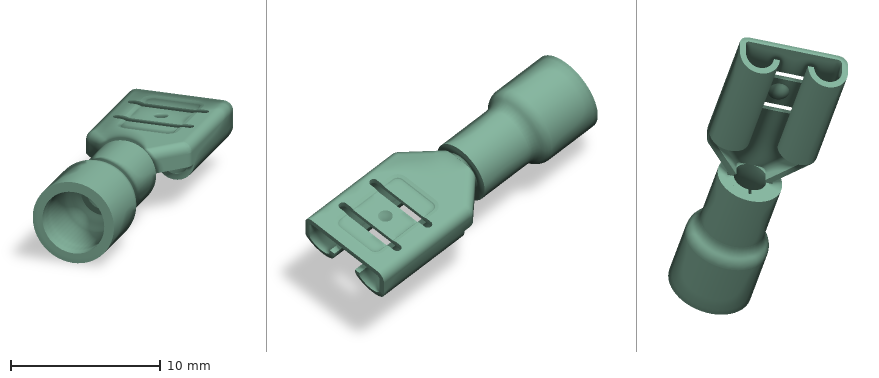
import cadquery as cq
import math

LENGTH = 21.0
SHEET = 0.42
REACH = 2 * LENGTH

BARREL_RADIUS = 3.1 / 2
SEAM_GAP = 0.19
BARREL_END_Y = 10.23

SLEEVE_LENGTH = 10.02
ENTRY_RADIUS = 5.8 / 2
ENTRY_BORE_RADIUS = 4.4 / 2
SLEEVE_RADIUS = 4.5 / 2
BEND_START_Y = 4.2
BEND_END_Y = 5.71

HALF_WIDTH = 7.5 / 2
ROOF_Z = 1.53
WALL_BOTTOM_Z = -0.1
SHOULDER_Y = 12.65
SHOULDER_RADIUS = 0.63
TAPER_ANGLE = math.radians(42.0)
ROOF_EDGE_RADIUS = 0.67

CURL_RADIUS = 1.39
CURL_START_Y = 13.4
LEAD_IN_TOP_Z = -0.42
LEAD_IN_LENGTH = 0.27

PANEL_WIDTH = 4.35
PANEL_START_Y = 13.84
PANEL_END_Y = 20.26
PANEL_CORNER_RADIUS = 0.75
PANEL_GENTLE_SLOPE = (0.25, 0.06)
PANEL_STEEP_SLOPE = (0.06, 0.05)
PANEL_DEPTH = PANEL_GENTLE_SLOPE[1] + PANEL_STEEP_SLOPE[1]

SLOT_LENGTH = 5.75
SLOT_WIDTH = 0.59
SLOT_CENTRES_Y = (15.7, 18.6)
DIMPLE_Y = (SLOT_CENTRES_Y[0] + SLOT_CENTRES_Y[1]) / 2
DIMPLE_WIDTH = 0.99
DIMPLE_RADIUS = 0.63
BUMP_RADIUS = 1.0


def cylinder(radius, start_y, end_y):
    """Cylinder on the Y axis."""
    return cq.Workplane("XZ", origin=(0, start_y, 0)).circle(radius).extrude(start_y - end_y)


def necked_cylinder(entry_radius, narrow_radius):
    """Cylinder on the Y axis that narrows through two equal, opposite arcs."""
    bend_middle = ((entry_radius + narrow_radius) / 2, (BEND_START_Y + BEND_END_Y) / 2)
    return (
        cq.Workplane("XY")
        .lineTo(entry_radius, 0)
        .lineTo(entry_radius, BEND_START_Y)
        .tangentArcPoint(bend_middle, relative=False)
        .tangentArcPoint((narrow_radius, BEND_END_Y), relative=False)
        .lineTo(narrow_radius, SLEEVE_LENGTH)
        .lineTo(0, SLEEVE_LENGTH)
        .close()
        .revolve(360, (0, 0, 0), (0, 1, 0))
    )


def make_sleeve():
    outside = necked_cylinder(ENTRY_RADIUS, SLEEVE_RADIUS)
    bore = necked_cylinder(ENTRY_BORE_RADIUS, BARREL_RADIUS)
    return outside.cut(bore)


def make_barrel():
    """Split tube that sits in the sleeve; only its upper half runs on past the sleeve."""
    outside = cylinder(BARREL_RADIUS, BEND_END_Y, BARREL_END_Y)
    bore = cylinder(BARREL_RADIUS - SHEET, BEND_END_Y, BARREL_END_Y)
    seam = cq.Workplane("XY").rect(SEAM_GAP, REACH).extrude(-REACH)
    lower_half = (
        cq.Workplane("XY", origin=(-BARREL_RADIUS, SLEEVE_LENGTH, WALL_BOTTOM_Z))
        .rect(2 * BARREL_RADIUS, BARREL_END_Y - SLEEVE_LENGTH, centered=False)
        .extrude(-BARREL_RADIUS)
    )
    return outside.cut(bore).cut(seam).cut(lower_half)


def inset_shoulder_y(inset):
    """Y of the sharp shoulder corner of the channel outline, offset inward by `inset`."""
    return SHOULDER_Y + inset * math.tan(TAPER_ANGLE / 2)


def neck_half_width(inset):
    """Half width of the offset channel outline where the neck meets the barrel."""
    return HALF_WIDTH - inset - (inset_shoulder_y(inset) - BARREL_END_Y) * math.tan(TAPER_ANGLE)


def channel_block(inset):
    """Solid block inside the channel's outer surface, offset inward by `inset`."""
    half_width = HALF_WIDTH - inset
    shoulder_y = inset_shoulder_y(inset)
    right_side = [(neck_half_width(inset), BARREL_END_Y), (half_width, shoulder_y), (half_width, LENGTH)]
    left_side = [(-x, y) for x, y in reversed(right_side)]
    block = (
        cq.Workplane("XY", origin=(0, 0, WALL_BOTTOM_Z))
        .polyline(right_side + left_side)
        .close()
        .extrude(ROOF_Z - inset - WALL_BOTTOM_Z)
    )
    shoulders = cq.selectors.BoxSelector(
        (-REACH, shoulder_y - SHEET, -REACH), (REACH, shoulder_y + SHEET, REACH)
    )
    block = block.edges("|Z").edges(shoulders).fillet(SHOULDER_RADIUS - inset)
    return block.faces(">Z").edges("not |X").fillet(ROOF_EDGE_RADIUS - inset)


def make_neck_cheek():
    """Wedge, rooted in the +X barrel wall, that leads the bore in to the narrower gap of the neck."""
    root_x = BARREL_RADIUS - SHEET / 2
    outline = [
        (root_x, SLEEVE_LENGTH),
        (neck_half_width(SHEET), BARREL_END_Y),
        (root_x, BARREL_END_Y),
    ]
    return (
        cq.Workplane("XY", origin=(0, 0, WALL_BOTTOM_Z))
        .polyline(outline)
        .close()
        .extrude(BARREL_RADIUS / 2 - WALL_BOTTOM_Z)
    )


def make_rail():
    """Half-round rail curled from the foot of the +X wall back up towards the middle."""
    inner_radius = CURL_RADIUS - SHEET
    centre_x = HALF_WIDTH - CURL_RADIUS
    rail = (
        cq.Workplane("XZ", origin=(0, CURL_START_Y, WALL_BOTTOM_Z))
        .moveTo(HALF_WIDTH, 0)
        .threePointArc((centre_x, -CURL_RADIUS), (centre_x - CURL_RADIUS, 0))
        .lineTo(centre_x - inner_radius, 0)
        .threePointArc((centre_x, -inner_radius), (centre_x + inner_radius, 0))
        .close()
        .extrude(CURL_START_Y - LENGTH)
    )
    lead_in_bottom_z = WALL_BOTTOM_Z - CURL_RADIUS
    lead_in = (
        cq.Workplane("YZ")
        .moveTo(LENGTH, LEAD_IN_TOP_Z)
        .lineTo(LENGTH - LEAD_IN_LENGTH, lead_in_bottom_z)
        .lineTo(LENGTH, lead_in_bottom_z)
        .close()
        .extrude(HALF_WIDTH)
    )
    return rail.cut(lead_in)


def panel_recess():
    """Pocket with a gentle outer slope and a short steep slope down to its floor."""
    width = PANEL_WIDTH
    length = PANEL_END_Y - PANEL_START_Y
    corner_radius = PANEL_CORNER_RADIUS
    top_z = ROOF_Z
    recess = cq.Workplane("XY")
    for slope_width, depth in (PANEL_GENTLE_SLOPE, PANEL_STEEP_SLOPE):
        layer = (
            cq.Workplane("XY", origin=(0, (PANEL_START_Y + PANEL_END_Y) / 2, top_z))
            .sketch()
            .rect(width, length)
            .vertices()
            .fillet(corner_radius)
            .finalize()
            .extrude(-depth, taper=math.degrees(math.atan2(slope_width, depth)))
        )
        recess = recess.add(layer)
        width -= 2 * slope_width
        length -= 2 * slope_width
        corner_radius -= slope_width
        top_z -= depth
    return recess.combine()


def dimple_sphere(radius):
    """Sphere about the dimple's centre, above the panel floor."""
    centre_z = ROOF_Z - PANEL_DEPTH + math.sqrt(DIMPLE_RADIUS**2 - (DIMPLE_WIDTH / 2) ** 2)
    return cq.Workplane("XY", origin=(0, DIMPLE_Y, centre_z)).sphere(radius)


def make_terminal():
    inside = channel_block(SHEET)
    channel = channel_block(0).cut(inside)
    bump = dimple_sphere(BUMP_RADIUS).intersect(inside)
    channel = channel.union(bump).cut(panel_recess()).cut(dimple_sphere(DIMPLE_RADIUS))
    for slot_y in SLOT_CENTRES_Y:
        slot = (
            cq.Workplane("XY", origin=(0, slot_y, ROOF_Z))
            .slot2D(SLOT_LENGTH, SLOT_WIDTH)
            .extrude(WALL_BOTTOM_Z - ROOF_Z)
        )
        channel = channel.cut(slot)
    terminal = channel.union(make_barrel())
    for right_piece in (make_neck_cheek(), make_rail()):
        terminal = terminal.union(right_piece).union(right_piece.mirror("YZ"))
    return terminal


sleeve = make_sleeve()
terminal = make_terminal()
result = cq.Compound.makeCompound([*sleeve.solids().vals(), *terminal.solids().vals()])